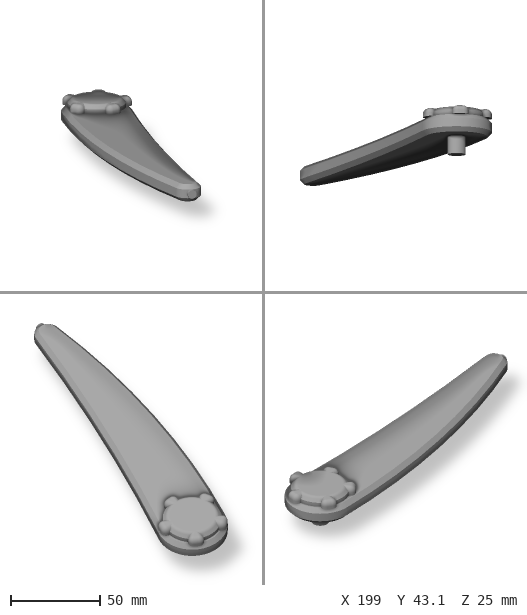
import cadquery as cq
import math

head_radius = 20.0
tip_radius = 7.5
tip_distance = 170.0
concave_edge_radius = 1190.0
convex_edge_radius = 461.5
plate_thickness = 10.0
plate_chamfer = 2.5

pin_radius = 5.0
pin_length = 10.0
nub_radius = 2.5
nub_end_x = 179.0

knob_height = 5.0
disc_radius = 16.5
disc_chamfer = 2.5
disc_blend_radius = 3.0
lobe_count = 5
lobe_pitch = 360 / lobe_count
lobe_span = 30.0
lobe_outer_radius = head_radius
lobe_fillet = 3.0
first_lobe_start = lobe_pitch


def point_on_circle(center, radius, angle):
    """Point at an angle in radians on a circle."""
    return (center[0] + radius * math.cos(angle), center[1] + radius * math.sin(angle))


def tangent_arc(head_gap, tip_gap, radius):
    """Start, middle and end of an arc that touches the head and tip circles on their shared side.

    The gaps are the distances from the arc center, which lies at +Y, to the head and tip centers.
    """
    center_x = (head_gap**2 - tip_gap**2 + tip_distance**2) / (2 * tip_distance)
    center_y = math.sqrt(head_gap**2 - center_x**2)
    head_angle = math.atan2(-center_y, -center_x)
    tip_angle = math.atan2(-center_y, tip_distance - center_x)
    middle_angle = (head_angle + tip_angle) / 2
    return [point_on_circle((center_x, center_y), radius, a) for a in (head_angle, middle_angle, tip_angle)]


def make_plate():
    upper_start, upper_middle, upper_end = tangent_arc(
        concave_edge_radius + head_radius, concave_edge_radius + tip_radius, concave_edge_radius
    )
    lower_start, lower_middle, lower_end = tangent_arc(
        convex_edge_radius - head_radius, convex_edge_radius - tip_radius, convex_edge_radius
    )
    outline = (
        cq.Workplane("XY")
        .moveTo(*upper_start)
        .threePointArc(upper_middle, upper_end)
        .threePointArc((tip_distance + tip_radius, 0), lower_end)
        .threePointArc(lower_middle, lower_start)
        .threePointArc((-head_radius, 0), upper_start)
        .close()
    )
    return outline.extrude(plate_thickness).faces("<Z or >Z").chamfer(plate_chamfer)


def make_pin():
    return cq.Workplane("XY").circle(pin_radius).extrude(-pin_length)


def make_nub():
    return (
        cq.Workplane("YZ", origin=(tip_distance, 0, plate_thickness / 2))
        .circle(nub_radius)
        .extrude(nub_end_x - tip_distance)
    )


def make_disc():
    disc = cq.Workplane("XY", origin=(0, 0, plate_thickness)).circle(disc_radius).extrude(knob_height)
    disc = disc.faces(">Z").chamfer(disc_chamfer)
    return disc.faces(">Z").edges().fillet(disc_blend_radius)


def make_lobe(start_angle):
    """Sector of a round slab, rounded on all edges but the lower ones and the point at the axis."""
    arc_middle = point_on_circle((0, 0), lobe_outer_radius, math.radians(lobe_span / 2))
    last_corner = point_on_circle((0, 0), lobe_outer_radius, math.radians(lobe_span))
    sector = (
        cq.Workplane("XY", origin=(0, 0, plate_thickness))
        .lineTo(lobe_outer_radius, 0)
        .threePointArc(arc_middle, last_corner)
        .close()
        .extrude(knob_height)
    )
    point_edge = cq.selectors.NearestToPointSelector((0, 0, plate_thickness + knob_height / 2))
    rounded_edges = cq.StringSyntaxSelector("|Z or >Z") - point_edge
    lobe = sector.edges(rounded_edges).fillet(lobe_fillet)
    return lobe.rotate((0, 0, 0), (0, 0, 1), start_angle)


result = make_plate().union(make_pin()).union(make_nub()).union(make_disc())
for index in range(lobe_count):
    result = result.union(make_lobe(first_lobe_start + index * lobe_pitch))